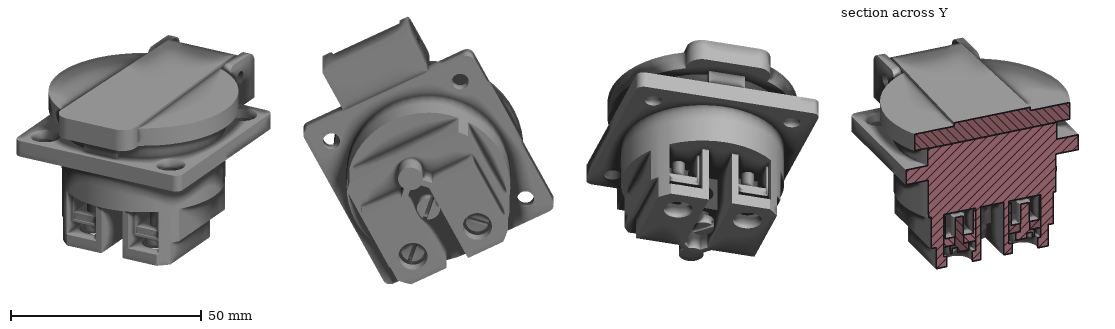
import cadquery as cq


Z_BASE_STEP = 6.25
Z_DRUM = 15.5
Z_PLATE = 26.5
Z_COLLAR = 31.0
Z_LID = 36.0
Z_DISC_TOP = 41.0
Z_STRAP_TOP = 42.0

PLATE_SIDE = 50.0
PLATE_CORNER_R = 2.0
SCREW_HOLE_PITCH = 37.95
SCREW_HOLE_D = 4.5
COUNTERSINK_D = 8.0
COUNTERSINK_ANGLE = 90
DRUM_R = 21.5
COLLAR_R = 21.7
TAB_W = 9.8
TAB_FRONT_Y = -22.9

BASE_FRONT_Y = -16.7
UPPER_BASE_HALF_W = 17.75
UPPER_BASE_BACK_Y = 14.25
LOWER_BASE_HALF_W = 16.25
LOWER_BASE_BACK_Y = 6.9
POST_Y = 10.45
POST_R = 3.25
WEB_HALF_W = 4.55

SLOT_HALF_W = 3.2
SLOT_BACK_Y = 6.0
EARTH_FACE_Y = -3.25
EARTH_BLOCK_Z = 6.05
WIRE_HOLE_R = 2.0
WIRE_HOLE_Z = 10.8
WIRE_HOLE_DEPTH = 6.5

TERMINAL_X = 9.5
TERMINAL_Y = -9.7
POCKET_INNER_X = 4.9
POCKET_OUTER_X = 13.9
POCKET_FLOOR_Z = 3.1
POCKET_BACK_Y = -5.4
ACCESS_HOLE_R = 3.85
CLAMP_FRONT_Y = -13.85
CLAMP_Z = 5.85
CLAMP_TOP_Z = 15.1
CLAMP_FLOOR = 0.65
CHANNEL_W = 7.9
JAW_H = 1.9
JAW_INSET = 0.3

SHANK_R = 1.75
HEAD_R = 3.05
DRIVE_SLOT_W = 1.05
DRIVE_SLOT_DEPTH = 1.4
DRIVE_SLOT_ANGLE = 45
CLAMP_HEAD_H = 2.3
CLAMP_SCREW_TOP_Z = 14.05
EARTH_HEAD_Z = 1.7
EARTH_HEAD_H = 2.5
EARTH_SCREW_TOP_Z = 11.7

HINGE_Y = 29.5
HINGE_HOLE_Z = 36.35
HINGE_HOLE_R = 1.75
BARREL_R = 5.0
BRACKET_HALF_W = 12.5
EAR_INNER_X = 10.15
EAR_BACK_Y = 37.0
EAR_FRONT_Y = 24.05
EAR_BOTTOM_Z = 27.9
EAR_TOP_Z = 41.3
EAR_BACK_R = 3.0
EAR_FRONT_R = 2.0
ARM_TOP_Z = 35.55
ARM_FRONT_Y = 17.55
BRACKET_WALL = 2.15
BRACKET_WALL_TOP_Z = 37.0

DISC_R = PLATE_SIDE / 2
STRAP_FRONT_Y = -28.0
STRAP_BACK_HALF_W = 9.95
STRAP_FRONT_HALF_W = 11.45
STRAP_CORNER_R = 4.0


def box(x0, x1, y0, y1, z0, z1):
    """Block given by its limits along X, Y and Z."""
    return cq.Workplane("XY").box(x1 - x0, y1 - y0, z1 - z0, centered=False).translate((x0, y0, z0))


def cylinder(radius, z0, z1, x=0, y=0):
    """Upright cylinder between two levels."""
    return cq.Workplane("XY", origin=(x, y, z0)).circle(radius).extrude(z1 - z0)


def cross_bar(radius, half_length):
    """Cylinder along X, centred on X = 0, at the hinge hole."""
    plane = cq.Workplane("YZ", origin=(-half_length, HINGE_Y, HINGE_HOLE_Z))
    return plane.circle(radius).extrude(2 * half_length)


def mounting_plate():
    plate = cq.Workplane("XY", origin=(0, 0, Z_PLATE)).rect(PLATE_SIDE, PLATE_SIDE)
    plate = plate.extrude(Z_COLLAR - Z_PLATE).edges("|Z").fillet(PLATE_CORNER_R)
    holes = plate.faces(">Z").workplane(origin=(0, 0, Z_COLLAR))
    holes = holes.rect(SCREW_HOLE_PITCH, SCREW_HOLE_PITCH, forConstruction=True).vertices()
    return holes.cskHole(SCREW_HOLE_D, COUNTERSINK_D, COUNTERSINK_ANGLE)


def collar():
    tab = box(-TAB_W / 2, TAB_W / 2, TAB_FRONT_Y, 0, Z_COLLAR, Z_LID)
    return cylinder(COLLAR_R, Z_COLLAR, Z_LID).union(tab)


def hinge_bracket():
    """Two drilled ears on arms, joined by a floor and a low back wall."""
    ear_outline = (
        cq.Workplane("YZ", origin=(-BRACKET_HALF_W, 0, 0))
        .moveTo(ARM_FRONT_Y, EAR_BOTTOM_Z)
        .lineTo(EAR_BACK_Y, EAR_BOTTOM_Z)
        .lineTo(EAR_BACK_Y, EAR_TOP_Z - EAR_BACK_R)
        .radiusArc((EAR_BACK_Y - EAR_BACK_R, EAR_TOP_Z), -EAR_BACK_R)
        .lineTo(EAR_FRONT_Y + EAR_FRONT_R, EAR_TOP_Z)
        .radiusArc((EAR_FRONT_Y, EAR_TOP_Z - EAR_FRONT_R), -EAR_FRONT_R)
        .lineTo(EAR_FRONT_Y, ARM_TOP_Z)
        .lineTo(ARM_FRONT_Y, ARM_TOP_Z)
        .close()
    )
    ear = ear_outline.extrude(BRACKET_HALF_W - EAR_INNER_X)
    wall_front_y = EAR_BACK_Y - BRACKET_WALL
    floor_top_z = EAR_BOTTOM_Z + BRACKET_WALL
    floor_front_y = PLATE_SIDE / 2
    floor = box(-EAR_INNER_X, EAR_INNER_X, floor_front_y, EAR_BACK_Y, EAR_BOTTOM_Z, floor_top_z)
    wall = box(-EAR_INNER_X, EAR_INNER_X, wall_front_y, EAR_BACK_Y, EAR_BOTTOM_Z, BRACKET_WALL_TOP_Z)
    bracket = ear.union(ear.mirror("YZ")).union(floor).union(wall)
    return bracket.cut(cross_bar(HINGE_HOLE_R, BRACKET_HALF_W))


def terminal_base():
    """Stepped base trimmed to the drum, with a post on webs behind its lower step."""
    upper = box(-UPPER_BASE_HALF_W, UPPER_BASE_HALF_W, BASE_FRONT_Y, UPPER_BASE_BACK_Y, Z_BASE_STEP, Z_DRUM)
    lower = box(-LOWER_BASE_HALF_W, LOWER_BASE_HALF_W, BASE_FRONT_Y, LOWER_BASE_BACK_Y, 0, Z_BASE_STEP)
    trimmed = upper.union(lower).intersect(cylinder(DRUM_R, 0, Z_DRUM))
    webs = (
        cq.Workplane("XY")
        .moveTo(-WEB_HALF_W, LOWER_BASE_BACK_Y)
        .lineTo(WEB_HALF_W, LOWER_BASE_BACK_Y)
        .lineTo(0, LOWER_BASE_BACK_Y + WEB_HALF_W)
        .close()
        .extrude(Z_BASE_STEP)
    )
    return trimmed.union(webs).union(cylinder(POST_R, 0, Z_BASE_STEP, y=POST_Y))


def earth_slot():
    """Room for the earth screw: a V-ended lower slot and a shallower slot above it."""
    lower = (
        cq.Workplane("XY")
        .moveTo(-SLOT_HALF_W, BASE_FRONT_Y)
        .lineTo(SLOT_HALF_W, BASE_FRONT_Y)
        .lineTo(SLOT_HALF_W, SLOT_BACK_Y)
        .lineTo(0, SLOT_BACK_Y + SLOT_HALF_W)
        .lineTo(-SLOT_HALF_W, SLOT_BACK_Y)
        .close()
        .extrude(EARTH_BLOCK_Z)
        .cut(cylinder(POST_R, 0, Z_BASE_STEP, y=POST_Y))
    )
    upper = box(-SLOT_HALF_W, SLOT_HALF_W, BASE_FRONT_Y, EARTH_FACE_Y, 0, Z_DRUM)
    wire_plane = cq.Workplane("XZ", origin=(0, EARTH_FACE_Y, WIRE_HOLE_Z))
    wire_hole = wire_plane.circle(WIRE_HOLE_R).extrude(-WIRE_HOLE_DEPTH)
    screw_hole = cylinder(SHANK_R, EARTH_BLOCK_Z, EARTH_SCREW_TOP_Z)
    return lower.union(upper).union(wire_hole).union(screw_hole)


def pocket_block(side, front_y, z0, z1):
    """Block as wide as a terminal pocket, from a front face to the pocket's back wall."""
    inner_x = side * POCKET_INNER_X
    outer_x = side * POCKET_OUTER_X
    return box(min(inner_x, outer_x), max(inner_x, outer_x), front_y, POCKET_BACK_Y, z0, z1)


def terminal_pocket(side):
    """Pocket open to the front, with a screwdriver hole through its floor."""
    pocket = pocket_block(side, BASE_FRONT_Y, POCKET_FLOOR_Z, Z_DRUM)
    return pocket.union(cylinder(ACCESS_HOLE_R, 0, POCKET_FLOOR_Z, side * TERMINAL_X, TERMINAL_Y))


def make_housing():
    base = terminal_base().cut(earth_slot())
    for side in (-1, 1):
        base = base.cut(terminal_pocket(side))
    drum = cylinder(DRUM_R, Z_DRUM, Z_PLATE)
    return base.union(drum).union(mounting_plate()).union(collar()).union(hinge_bracket())


def make_lid():
    """Round cover with a tapered strap that ends in the hinge barrel."""
    disc = cylinder(DISC_R, Z_LID, Z_DISC_TOP)
    strap = (
        cq.Workplane("XY", origin=(0, 0, Z_LID))
        .moveTo(-STRAP_FRONT_HALF_W, STRAP_FRONT_Y)
        .lineTo(STRAP_FRONT_HALF_W, STRAP_FRONT_Y)
        .lineTo(STRAP_BACK_HALF_W, HINGE_Y)
        .lineTo(-STRAP_BACK_HALF_W, HINGE_Y)
        .close()
        .extrude(Z_STRAP_TOP - Z_LID)
        .edges("|Z and <Y")
        .fillet(STRAP_CORNER_R)
    )
    barrel_z = Z_STRAP_TOP - BARREL_R
    barrel_plane = cq.Workplane("YZ", origin=(-STRAP_BACK_HALF_W, HINGE_Y, barrel_z))
    barrel = barrel_plane.circle(BARREL_R).extrude(2 * STRAP_BACK_HALF_W)
    return disc.union(strap).union(barrel).cut(cross_bar(HINGE_HOLE_R, BRACKET_HALF_W))


def make_clamp(side):
    """U-shaped clamp that fills the pocket width, with the jaw on its floor."""
    x = side * TERMINAL_X
    left_x = x - CHANNEL_W / 2
    right_x = x + CHANNEL_W / 2
    floor_z = CLAMP_Z + CLAMP_FLOOR
    jaw_front_y = CLAMP_FRONT_Y + JAW_INSET
    body = pocket_block(side, CLAMP_FRONT_Y, CLAMP_Z, CLAMP_TOP_Z)
    channel = box(left_x, right_x, CLAMP_FRONT_Y, POCKET_BACK_Y, floor_z, CLAMP_TOP_Z)
    jaw = box(left_x, right_x, jaw_front_y, POCKET_BACK_Y, floor_z, floor_z + JAW_H)
    screw_hole = cylinder(SHANK_R, CLAMP_Z, CLAMP_TOP_Z, x, TERMINAL_Y)
    return body.cut(channel).union(jaw).cut(screw_hole)


def make_screw(x, y, head_z, head_h, top_z, slot_angle):
    """Head-down screw with a straight drive slot across the underside of its head."""
    head = cylinder(HEAD_R, head_z, head_z + head_h, x, y)
    shank = cylinder(SHANK_R, head_z, top_z, x, y)
    slot = box(-HEAD_R, HEAD_R, -DRIVE_SLOT_W / 2, DRIVE_SLOT_W / 2, head_z, head_z + DRIVE_SLOT_DEPTH)
    slot = slot.rotate((0, 0, 0), (0, 0, 1), slot_angle).translate((x, y, 0))
    return head.union(shank).cut(slot)


housing = make_housing()
lid = make_lid()
earth_screw = make_screw(0, 0, EARTH_HEAD_Z, EARTH_HEAD_H, EARTH_SCREW_TOP_Z, -DRIVE_SLOT_ANGLE)

clamps = []
clamp_screws = []
clamp_head_z = CLAMP_Z - CLAMP_HEAD_H
for side in (-1, 1):
    screw_x = side * TERMINAL_X
    slot_angle = -side * DRIVE_SLOT_ANGLE
    clamp_screw = make_screw(screw_x, TERMINAL_Y, clamp_head_z, CLAMP_HEAD_H, CLAMP_SCREW_TOP_Z, slot_angle)
    clamps.append(make_clamp(side).solids().val())
    clamp_screws.append(clamp_screw.solids().val())

result = cq.Compound.makeCompound(
    [housing.solids().val(), lid.solids().val(), earth_screw.solids().val(), *clamps, *clamp_screws]
)